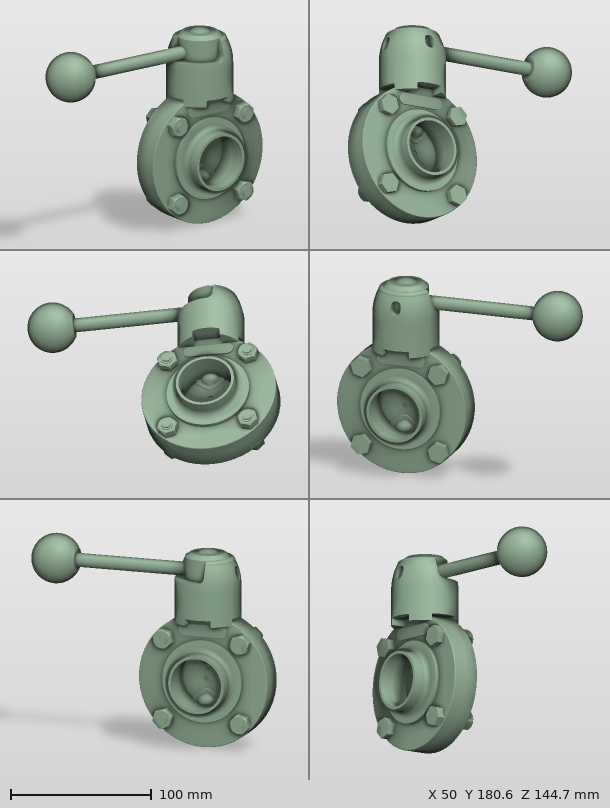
import cadquery as cq
import math


flange_radius = 48.6
flange_half_width = 10.0
flange_edge = 0.7
hub_radius = 59.5 / 2
hub_half_width = 13.0
pipe_half_length = 50.0 / 2
pipe_radius = 42.0 / 2
bore_radius = 38 / 2
seat_depth = 0.9
seat_radius = bore_radius + seat_depth
neck_fillet = 4.2

disc_half_thickness = 2.9
disc_face_radius = 17.2
disc_edge_half_thickness = 1.8
disc_dimple_diameter = 4.2
disc_dimple_depth = 0.9
stem_radius = 7.4
stem_end = 10.1
stem_end_radius = 2.7
collar_start = 13.5
collar_end_radius = 6.1
boss_tip = 6.9
boss_base = 13.7
boss_base_radius = 10.5
boss_half_thickness = 3.5

bolt_circle_radius = 41.0
bolt_count = 4
hex_across_flats = 13.0
hex_turn = 30
bolt_head_height = 5.6
bolt_head_bevel = 0.27
nut_height = 6.5
nut_bevel = 1.3
nut_collar_diameter = 9
nut_collar_height = 0.7
stud_diameter = 6.9
stud_end = 18.5

pad_length = 36.0
pad_width = 8.3
pad_top = 40.6
pad_height = 1.3

ball_diameter = 36.0
total_length = 180.6
tip_reach = total_length - flange_radius
total_height = 144.7
ball_centre_y = ball_diameter / 2 - tip_reach
lever_height = total_height - flange_radius - ball_diameter / 2
ball_flat_y = -98.3
rod_diameter = 10.0

head_bottom = 42.0
notch_top = 46.8
sleeve_radius = 23.8
sleeve_seam = 65.8
sleeve_shoulder = 86.4
sleeve_shoulder_radius = 19.5
sleeve_bulge = (22.4, 79.0)
sleeve_top = 88.9
sleeve_rounding = (18.5, 88.3)
notch_corner = 1.0
cap_radius = 16.3
cap_top = 91.5
cap_top_radius = 12.8
dome_radius = 7.5
dome_top = 94.0
window_width = 7.4


def cylinder_x(radius, start, end):
    return cq.Workplane("YZ").workplane(offset=start).circle(radius).extrude(end - start)


def revolve_about_x(profile):
    return profile.close().revolve(360, (0, 0, 0), (1, 0, 0))


def revolve_about_z(profile):
    return profile.close().revolve(360, (0, 0, 0), (0, 1, 0))


def make_body():
    """Flange pair, hubs and pipe ends, with the bore left open."""
    flange = cylinder_x(flange_radius, -flange_half_width, flange_half_width).edges().fillet(flange_edge)
    hub = cylinder_x(hub_radius, -hub_half_width, hub_half_width)
    pipe = cylinder_x(pipe_radius, -pipe_half_length, pipe_half_length)
    bore = cylinder_x(bore_radius, -pipe_half_length, pipe_half_length)

    flare_outer = pipe_radius + neck_fillet
    flare_end = hub_half_width + neck_fillet
    flare_middle = (
        flare_end - neck_fillet * math.sqrt(0.5),
        flare_outer - neck_fillet * math.sqrt(0.5),
    )
    flare_profile = (
        cq.Workplane("XY")
        .moveTo(0, bore_radius)
        .lineTo(flare_end, bore_radius)
        .lineTo(flare_end, pipe_radius)
        .threePointArc(flare_middle, (hub_half_width, flare_outer))
        .lineTo(0, flare_outer)
    )
    flare = revolve_about_x(flare_profile)
    return flange.union(hub).union(pipe).union(flare).union(flare.mirror("YZ")).cut(bore)


def make_disc():
    """Closed disc with a rounded stem and a conical boss at its top and bottom."""
    profile = cq.Workplane("XY").polyline([
        (-disc_half_thickness, 0),
        (-disc_half_thickness, disc_face_radius),
        (-disc_edge_half_thickness, seat_radius),
        (disc_edge_half_thickness, seat_radius),
        (disc_half_thickness, disc_face_radius),
        (disc_half_thickness, 0),
    ])
    disc = revolve_about_x(profile)
    dimple_bottom = disc_half_thickness - disc_dimple_depth
    for start, end in ((-disc_half_thickness, -dimple_bottom), (dimple_bottom, disc_half_thickness)):
        disc = disc.cut(cylinder_x(disc_dimple_diameter / 2, start, end))

    cone_profile = cq.Workplane("XZ").polyline([
        (0, boss_tip),
        (disc_half_thickness, boss_tip),
        (boss_base_radius, boss_base),
        (boss_base_radius, bore_radius),
        (0, bore_radius),
    ])
    bore_slice = cylinder_x(bore_radius, -boss_half_thickness, boss_half_thickness)
    boss = revolve_about_z(cone_profile).intersect(bore_slice)
    stem_profile = (
        cq.Workplane("XZ")
        .moveTo(0, stem_end)
        .lineTo(stem_end_radius, stem_end)
        .lineTo(collar_end_radius, collar_start)
        .threePointArc((stem_radius, (collar_start + seat_radius) / 2), (collar_end_radius, seat_radius))
        .lineTo(0, seat_radius)
    )
    support = boss.union(revolve_about_z(stem_profile))
    return disc.union(support).union(support.mirror("XY"))


def make_hexagon(start, height, bevelled_side, bevel):
    """Hexagonal prism along X whose outer end is turned down to a cone."""
    corner_radius = hex_across_flats / math.sqrt(3)
    prism = (
        cq.Workplane("YZ")
        .workplane(offset=start)
        .polygon(6, 2 * corner_radius)
        .extrude(height)
        .rotate((0, 0, 0), (1, 0, 0), hex_turn)
    )
    envelope = cylinder_x(corner_radius, start, start + height).faces(bevelled_side).edges().chamfer(bevel)
    return prism.intersect(envelope)


def make_bolts():
    """Bolts with heads on -X and collar nuts on +X."""
    head = make_hexagon(-flange_half_width - bolt_head_height, bolt_head_height, "<X", bolt_head_bevel)
    nut = make_hexagon(flange_half_width, nut_height, ">X", nut_bevel)
    nut_end = flange_half_width + nut_height
    collar = cylinder_x(nut_collar_diameter / 2, nut_end, nut_end + nut_collar_height)
    stud = cylinder_x(stud_diameter / 2, 0, stud_end)
    bolt = head.union(nut).union(collar).union(stud).translate((0, bolt_circle_radius, 0))

    bolts = cq.Workplane("XY")
    for index in range(bolt_count):
        angle = 360 / bolt_count * (index + 0.5)
        bolts = bolts.union(bolt.rotate((0, 0, 0), (1, 0, 0), angle))
    return bolts


def make_pad():
    """Rounded bar standing out from both flange faces below the head."""
    reach = flange_half_width + pad_height
    pad = cq.Workplane("YZ").slot2D(pad_length, pad_width).extrude(reach, both=True)
    return pad.translate((0, 0, pad_top - pad_width / 2))


def make_sleeve():
    """Solid barrel shape of the head."""
    profile = (
        cq.Workplane("XZ")
        .moveTo(0, head_bottom)
        .lineTo(sleeve_radius, head_bottom)
        .lineTo(sleeve_radius, sleeve_seam)
        .threePointArc(sleeve_bulge, (sleeve_shoulder_radius, sleeve_shoulder))
        .threePointArc(sleeve_rounding, (cap_radius, sleeve_top))
        .lineTo(0, sleeve_top)
    )
    return revolve_about_z(profile)


def make_notches():
    """Crossed notches in the bottom of the sleeve, as wide as the flange."""
    notch_length = 4 * sleeve_radius
    notch_width = 2 * flange_half_width
    notch = (
        cq.Workplane("XY")
        .workplane(offset=head_bottom)
        .rect(notch_length, notch_width)
        .extrude(notch_top - head_bottom)
        .edges("|X and >Z")
        .fillet(notch_corner)
    )
    return notch.union(notch.rotate((0, 0, 0), (0, 0, 1), 90))


def make_lever_opening():
    """Quarter turn of clearance for the lever, from -Y round to +X, open at the top."""
    rod_radius = rod_diameter / 2
    reach = 2 * sleeve_radius
    floor = lever_height - rod_radius
    sector = cq.Workplane("XY").box(reach, reach, reach, centered=False).translate((0, -reach, floor))
    slot = (
        cq.Workplane("YZ")
        .circle(rod_radius)
        .extrude(reach)
        .union(cq.Workplane("XY").box(reach, rod_diameter, reach, centered=(False, True, False)))
        .translate((0, 0, lever_height))
    )
    return sector.union(slot).union(slot.rotate((0, 0, 0), (0, 0, 1), -90))


def make_windows():
    """Upright slots through the sleeve at -X and +Y."""
    window = (
        cq.Workplane("YZ")
        .slot2D(rod_diameter, window_width, 90)
        .extrude(-sleeve_radius)
        .translate((0, 0, lever_height))
    )
    return window.union(window.rotate((0, 0, 0), (0, 0, 1), -90))


def make_spindle():
    """Spindle filling the sleeve, ending in a chamfered cap with a domed top."""
    rise = dome_top - cap_top
    dome_sphere = (dome_radius ** 2 + rise ** 2) / (2 * rise)
    middle_angle = math.asin(dome_radius / dome_sphere) / 2
    dome_middle = (
        dome_sphere * math.sin(middle_angle),
        dome_top - dome_sphere * (1 - math.cos(middle_angle)),
    )
    profile = (
        cq.Workplane("XZ")
        .moveTo(0, notch_top)
        .lineTo(cap_radius, notch_top)
        .lineTo(cap_radius, sleeve_top)
        .lineTo(cap_top_radius, cap_top)
        .lineTo(dome_radius, cap_top)
        .threePointArc(dome_middle, (0, dome_top))
    )
    return revolve_about_z(profile)


def make_lever():
    """Round rod and a ball knob with a flat where the rod enters."""
    rod = (
        cq.Workplane("XZ")
        .circle(rod_diameter / 2)
        .extrude(-ball_centre_y)
        .translate((0, 0, lever_height))
    )
    ball = cq.Workplane("XY").sphere(ball_diameter / 2).translate((0, ball_centre_y, lever_height))
    beyond_flat = (
        cq.Workplane("XY")
        .box(ball_diameter, ball_diameter, ball_diameter)
        .translate((0, ball_flat_y + ball_diameter / 2, lever_height))
    )
    return rod.union(ball.cut(beyond_flat))


sleeve = make_sleeve().cut(make_notches()).cut(make_lever_opening()).cut(make_windows())
head = sleeve.union(make_spindle()).union(make_lever())
outer_body = make_body().union(make_pad()).union(make_bolts())

result = outer_body.union(head).union(make_disc())